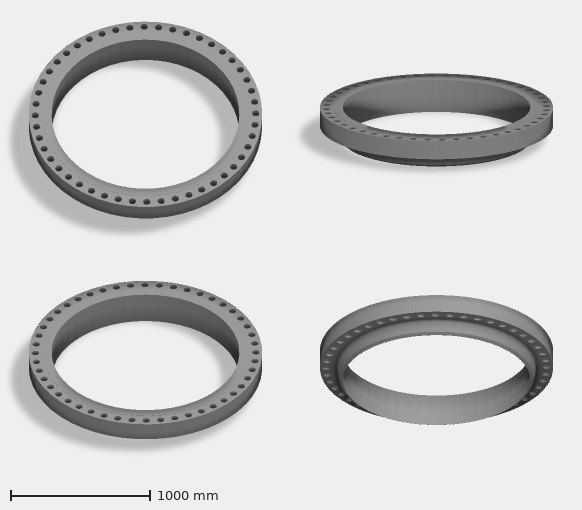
import cadquery as cq
import math

outer_radius = 837.0
bore_radius = 673.0
total_height = 240.0
flange_thickness = 137.0

face_radius = 740.0
face_height = 2.0

hub_top_radius = 718.0
hub_bottom_radius = 695.0
hub_fillet = 13.0

land_width = 2.0
bevel_angle = 37.5

bolt_count = 48
bolt_circle_radius = 790.0
bolt_hole_diameter = 52.0

flange_bottom = total_height - flange_thickness
flange_top = total_height - face_height
land_radius = bore_radius + land_width
bevel_height = (hub_bottom_radius - land_radius) * math.tan(math.radians(bevel_angle))


def make_ring():
    """Revolve the flange, raised face, hub and weld bevel as one profile."""
    profile = (
        cq.Workplane("XZ")
        .moveTo(bore_radius, 0)
        .lineTo(land_radius, 0)
        .lineTo(hub_bottom_radius, bevel_height)
        .lineTo(hub_top_radius, flange_bottom)
        .lineTo(outer_radius, flange_bottom)
        .lineTo(outer_radius, flange_top)
        .lineTo(face_radius, flange_top)
        .lineTo(face_radius, total_height)
        .lineTo(bore_radius, total_height)
        .close()
    )
    return profile.revolve(360, (0, 0, 0), (0, 1, 0))


def round_hub_root(ring):
    """Blend the hub into the underside of the flange."""
    reach = hub_top_radius + hub_fillet
    root_edge = cq.selectors.BoxSelector(
        (-reach, -reach, flange_bottom - hub_fillet),
        (reach, reach, flange_bottom + hub_fillet),
        boundingbox=True,
    )
    return ring.edges(root_edge).fillet(hub_fillet)


def make_bolt_holes():
    """Cylinders for the bolt holes through the flange."""
    return (
        cq.Workplane("XY")
        .polarArray(bolt_circle_radius, 0, 360, bolt_count)
        .circle(bolt_hole_diameter / 2)
        .extrude(total_height)
    )


result = round_hub_root(make_ring()).cut(make_bolt_holes())